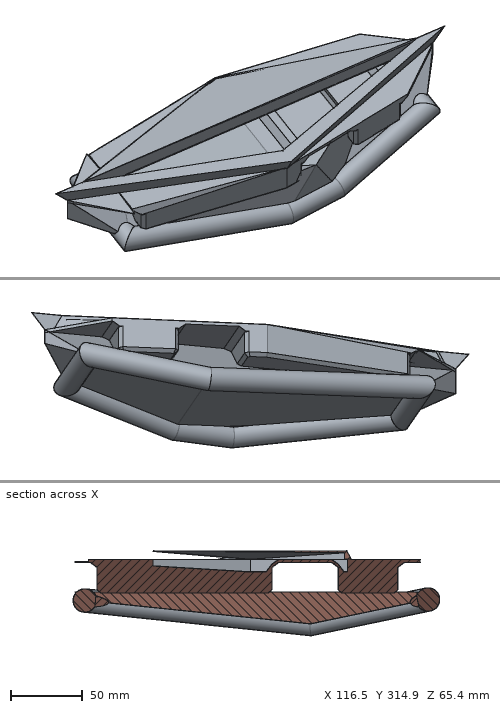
import cadquery as cq


roof_height = 12.0
rim_top_half_length = 314.9 / 2
rim_top_half_width = 56.7
rim_base_half_length = 148.0
rim_base_half_width = 51.5
opening_top_half_length = 135.5
opening_top_half_width = 44.8
opening_base_half_length = 142.0
opening_base_half_width = 48.3
canopy_wall = 0.8
canopy_edge_width = 1.0
canopy_front_sheet = 0.9
canopy_rear_sheet = 3.0

nose_y = rim_base_half_length
tub_left_half_width = opening_base_half_width
tub_right_half_width = 50.5
tub_end_half_width = 33.0
tub_front_y = -113.0
tub_rear_y = 108.0
deck_thickness = 2.3
front_well = (-107.0, 15.2)
rear_well = (61.3, 103.0)
well_depth = 23.7
well_edge_bevel = 2.5
lip_run = 4.5
lip_drop = 3.4
hollow_depth = 8.7
hollow_lip_run = 4.8
hollow_lip_drop = 3.2
hollow_slope_run = 4.1
mouth_inset = 1.0
ramp_start_y = -0.5
edge_bevel_width = 3.0
edge_bevel_drop = 5.4
nose_drop = 2.0

tube_radius = 8.2
keel_y = 42.0
keel_z = -45.15
keel_half_width = 48.08
flank_slope = keel_half_width / keel_z
front_tube_y = -115.4
front_tube_z = -28.8
front_tube_half_length = flank_slope * front_tube_z
rear_tube_y = 124.0
rear_tube_z = -28.1
rear_tube_half_length = flank_slope * rear_tube_z
right_bulge_x = 51.82

ridge_half_length = 105.0
front_nose_depth = 18.6
rear_nose_depth = 10.3
right_shoulder = (50.0, 24.0, -11.0)


def polyhedron(faces):
    """Closed solid from flat faces given as lists of corner points."""
    sides = []
    for corners in faces:
        outline = cq.Wire.makePolygon([cq.Vector(*corner) for corner in corners], close=True)
        sides.append(cq.Face.makeFromWires(outline))
    return cq.Workplane(cq.Solid.makeSolid(cq.Shell.makeShell(sides)))


def wedge(side, top_front, top_rear, base_front, base_rear):
    """Pyramid from an upright four-sided base to one corner at its side."""
    return polyhedron([
        [side, top_front, top_rear],
        [side, base_rear, base_front],
        [side, base_front, top_front],
        [side, top_rear, base_rear],
        [base_front, base_rear, top_rear, top_front],
    ])


def make_canopy():
    side = (-opening_base_half_width, 0, 0)
    ridge_front = (0, -opening_top_half_length, roof_height)
    ridge_rear = (0, opening_top_half_length, roof_height)
    base_front = (0, -opening_base_half_length, 0)
    base_rear = (0, opening_base_half_length, 0)
    roof = wedge(side, ridge_front, ridge_rear, base_front, base_rear)

    hollow_front = -rim_top_half_length
    hollow_rear = opening_top_half_length - canopy_rear_sheet
    hollow = wedge(
        (-opening_base_half_width + canopy_edge_width, 0, 0),
        (-canopy_wall, hollow_front, roof_height - canopy_front_sheet),
        (-canopy_wall, hollow_rear, roof_height - canopy_rear_sheet),
        (-canopy_wall, hollow_front, 0),
        (-canopy_wall, hollow_rear, 0),
    )
    return roof.cut(hollow)


def triangle_frustum(base_length, base_width, top_length, top_width):
    return (
        cq.Workplane("XY")
        .polyline([(0, -base_length), (base_width, 0), (0, base_length)])
        .close()
        .workplane(offset=roof_height)
        .polyline([(0, -top_length), (top_width, 0), (0, top_length)])
        .close()
        .loft(ruled=True)
    )


def make_rim():
    frame = triangle_frustum(
        rim_base_half_length, rim_base_half_width, rim_top_half_length, rim_top_half_width
    )
    opening = triangle_frustum(
        opening_base_half_length, opening_base_half_width, opening_top_half_length, opening_top_half_width
    )
    return frame.cut(opening)


def unit(start, end):
    return (cq.Vector(*end) - cq.Vector(*start)).normalized()


def mitre_block(corner, normal):
    """Large block that covers the side of the mitre plane the normal points to."""
    size = 400.0
    plane = cq.Plane(origin=corner, normal=normal.toTuple())
    return cq.Workplane(plane).rect(size, size).extrude(size)


def tube_segment(before, start, end, after):
    """Bar from start to end, mitred against the bars to the corners before and after."""
    overrun = 4 * tube_radius
    along = unit(start, end)
    origin = cq.Vector(*start) - along * overrun
    length = (cq.Vector(*end) - cq.Vector(*start)).Length + 2 * overrun
    section_plane = cq.Plane(origin=origin.toTuple(), normal=along.toTuple())
    bar = cq.Workplane(section_plane).circle(tube_radius).extrude(length)
    start_normal = (unit(before, start) + along) * -1
    end_normal = along + unit(end, after)
    return bar.cut(mitre_block(start, start_normal)).cut(mitre_block(end, end_normal))


def make_tube(corners):
    """One tube through corners[1:-1]; the first and last corners set the end mitres."""
    tube = None
    for before, start, end, after in zip(corners, corners[1:], corners[2:], corners[3:]):
        segment = tube_segment(before, start, end, after)
        tube = segment if tube is None else tube.union(segment)
    return tube


front_left = (-front_tube_half_length, front_tube_y, front_tube_z)
front_right = (front_tube_half_length, front_tube_y, front_tube_z)
rear_left = (-rear_tube_half_length, rear_tube_y, rear_tube_z)
rear_right = (rear_tube_half_length, rear_tube_y, rear_tube_z)
keel_left = (-keel_half_width, keel_y, keel_z)
keel_right = (keel_half_width, keel_y, keel_z)
bulge_right = (right_bulge_x, 0, keel_z)

left_tube = make_tube([front_right, front_left, keel_left, rear_left, rear_right])
rear_tube = make_tube([keel_left, rear_left, rear_right, keel_right])
right_tube = make_tube([rear_left, rear_right, keel_right, bulge_right, front_right, front_left])
front_tube = make_tube([bulge_right, front_right, front_left, keel_left])
tubes = [left_tube, rear_tube, right_tube, front_tube]


def tub_outline():
    return cq.Workplane("XY").polyline([
        (0, -nose_y),
        (tub_end_half_width, tub_front_y),
        (tub_right_half_width, 0),
        (tub_end_half_width, tub_rear_y),
        (0, nose_y),
        (-tub_end_half_width, tub_rear_y),
        (-tub_left_half_width, 0),
        (-tub_end_half_width, tub_front_y),
    ]).close()


def bar_along_x(section):
    """Solid with the given (Y, Z) section, wider than the tub."""
    return cq.Workplane("YZ").polyline(section).close().extrude(rim_top_half_width, both=True)


def make_well(ends):
    """Outside of one well, with bevelled edges and a sloped lip under the deck at each end."""
    front, rear = ends
    ends_section = [(front, 0), (front, -well_depth), (rear, -well_depth), (rear, 0)]
    well = tub_outline().extrude(-well_depth).intersect(bar_along_x(ends_section))
    well = well.faces("<Y or >Y").edges("|Z").chamfer(well_edge_bevel)
    well = well.faces("<Z").edges().chamfer(well_edge_bevel)
    lip_section = [
        (front - lip_run, 0),
        (front - lip_run, -deck_thickness),
        (front, -deck_thickness - lip_drop),
        (rear, -deck_thickness - lip_drop),
        (rear + lip_run, -deck_thickness),
        (rear + lip_run, 0),
    ]
    return well.union(tub_outline().extrude(-well_depth).intersect(bar_along_x(lip_section)))


def make_edge_bevel(side, half_width):
    """Wedge to cut from the deck edge: it starts amidships and deepens towards the front corner."""
    amidships = (side * half_width, 0, 0)
    outer_x = side * half_width
    inner_x = side * (tub_end_half_width - edge_bevel_width)
    corner_x = side * tub_end_half_width
    return polyhedron([
        [amidships, (inner_x, tub_front_y, 0), (corner_x, tub_front_y, -edge_bevel_drop)],
        [amidships, (corner_x, tub_front_y, -edge_bevel_drop), (outer_x, tub_front_y, 0)],
        [amidships, (outer_x, tub_front_y, 0), (inner_x, tub_front_y, 0)],
        [(inner_x, tub_front_y, 0), (corner_x, tub_front_y, -edge_bevel_drop), (outer_x, tub_front_y, 0)],
    ])


def make_nose_slope(side):
    """Wedge to cut from the front nose so that its top falls away from the centre line."""
    tip = (0, -nose_y, 0)
    centre = (0, tub_front_y, 0)
    corner_low = (side * tub_end_half_width, tub_front_y, -nose_drop)
    corner_high = (side * tub_end_half_width, tub_front_y, 0)
    return polyhedron([
        [tip, centre, corner_low],
        [tip, corner_low, corner_high],
        [tip, corner_high, centre],
        [centre, corner_low, corner_high],
    ])


def make_tub_envelope():
    """Tub without its hollow inside."""
    envelope = tub_outline().extrude(-deck_thickness)
    for ends in (front_well, rear_well):
        envelope = envelope.union(make_well(ends))
    for side, half_width in ((-1, tub_left_half_width), (1, tub_right_half_width)):
        envelope = envelope.cut(make_edge_bevel(side, half_width)).cut(make_nose_slope(side))
    return envelope


def hollow_step(floor_end, direction):
    """Points from the hollow floor up to the deck: a steep slope and then a shallow lip."""
    slope_top = floor_end + direction * hollow_slope_run
    return [
        (floor_end, -hollow_depth),
        (slope_top, -hollow_lip_drop),
        (slope_top + direction * hollow_lip_run, 0),
    ]


def make_tub(envelope):
    mouth = (
        cq.Workplane("XY")
        .polyline([
            (0, -opening_base_half_length),
            (opening_base_half_width, 0),
            (0, opening_base_half_length),
            (-opening_base_half_width, 0),
        ])
        .close()
        .offset2D(-mouth_inset)
        .extrude(-well_depth)
    )
    ramp = [(-opening_base_half_length, 0), (ramp_start_y, -hollow_depth)]
    front_hollow = ramp + hollow_step(front_well[1] - hollow_slope_run, 1)
    rear_hollow = (
        hollow_step(rear_well[0] + hollow_slope_run, -1)[::-1]
        + hollow_step(rear_well[1] - hollow_slope_run, 1)
    )
    tub = envelope
    for section in (front_hollow, rear_hollow):
        tub = tub.cut(bar_along_x(section).intersect(mouth))
    return tub


def make_raft():
    tip_front = (0, -nose_y, 0)
    tip_rear = (0, nose_y, 0)
    foot_front = (0, -nose_y, -front_nose_depth)
    foot_rear = (0, nose_y, -rear_nose_depth)
    ridge_front = (0, -ridge_half_length, 0)
    ridge_rear = (0, ridge_half_length, 0)
    return polyhedron([
        [tip_front, foot_front, front_left],
        [tip_front, front_left, ridge_front],
        [tip_front, foot_front, front_right],
        [tip_front, front_right, ridge_front],
        [tip_rear, foot_rear, rear_left],
        [tip_rear, rear_left, ridge_rear],
        [tip_rear, foot_rear, rear_right],
        [tip_rear, rear_right, ridge_rear],
        [ridge_front, front_left, keel_left],
        [ridge_front, keel_left, ridge_rear],
        [ridge_rear, keel_left, rear_left],
        [ridge_front, front_right, right_shoulder],
        [front_right, bulge_right, right_shoulder],
        [bulge_right, keel_right, right_shoulder],
        [ridge_front, right_shoulder, ridge_rear],
        [ridge_rear, right_shoulder, keel_right],
        [ridge_rear, keel_right, rear_right],
        [foot_front, front_left, front_right],
        [front_left, keel_left, keel_right, front_right],
        [front_right, keel_right, bulge_right],
        [keel_left, rear_left, rear_right, keel_right],
        [foot_rear, rear_left, rear_right],
    ])


canopy = make_canopy()
rim = make_rim()
tub_envelope = make_tub_envelope()
tub = make_tub(tub_envelope)
raft = make_raft().cut(tub_envelope)
for tube in tubes:
    tub = tub.cut(tube)
    raft = raft.cut(tube)

bodies = [canopy, rim, tub, raft] + tubes
result = cq.Compound.makeCompound([solid for body in bodies for solid in body.solids().vals()])